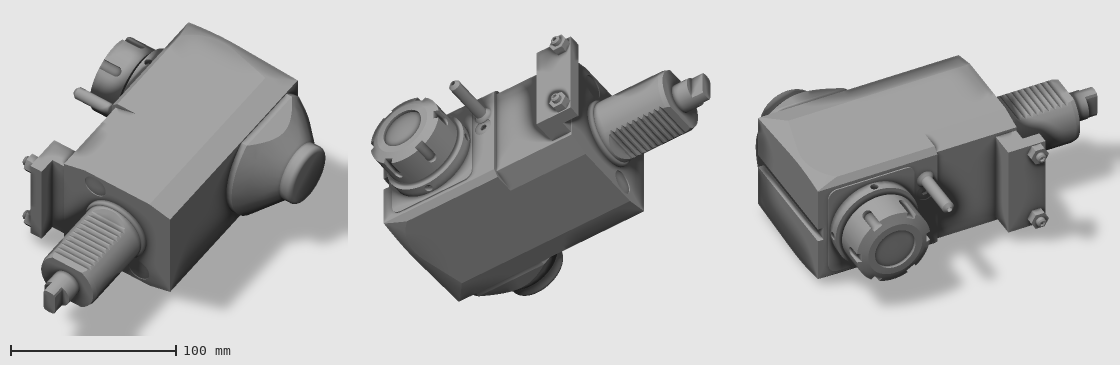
import cadquery as cq
import math


SLOPE = 15.0
SLOPE_TAN = math.tan(math.radians(SLOPE))

OVERLAP = 1.0

OVERALL_LENGTH = 208.0
HALF_HEIGHT = 75.0 / 2
HALF_WIDTH = 39.0
TOP_HALF_WIDTH = 24.0
HEAD_LEFT = 41.5
HEAD_CHAMFER = 3.7
HEAD_FRONT_Y = 55.0
HOUSING_LENGTH = 135.8
SHOULDER_Z = HALF_HEIGHT - (HALF_WIDTH - TOP_HALF_WIDTH) * SLOPE_TAN
SPINDLE_Y = 99.8

CROWN_X = -13.7
CROWN_RADIUS = 32.2
CROWN_TURN = 15.0
CROWN_REACH = 72.8
CROWN_CONE_ANGLE = 105.0

KEYWAY_WIDTH = 9.2
KEYWAY_DEPTH = 4.0

RECESS_RADIUS = 7.7
RECESS_DEPTH = 0.6
RECESS_X = 16.0
RECESS_Z = 27.9

COVER_RADIUS = 40.1
COVER_FLANGE_X = 43.0
COVER_HALF_HEIGHT = 32.2
COVER_REAR_Y = 131.0
NOSE_RADIUS = 19.3
NOSE_END_X = 72.2
NOSE_ROUNDING = 2.7

PAD_WIDTH = 58.2
PAD_HEIGHT = 62.8
PAD_THICKNESS = 0.8
PAD_CORNER = 6.0
FLANGE_RADIUS = 28.0
FLANGE_END_X = -49.7
NECK_RADIUS = 20.8
NUT_BACK_X = -52.2
NUT_RADIUS = 25.0
NUT_SHOULDER_X = -72.0
NUT_FACE_X = -74.5
NUT_FACE_RADIUS = 18.3
NUT_BORE_RADIUS = 13.7
NUT_BORE_DEPTH = 2.0
NUT_SLOT_COUNT = 6
NUT_SLOT_WIDTH = 6.2
NUT_SLOT_END_X = -57.8
NUT_SHORT_SLOT_END_X = -61.8
NUT_SLOT_FLOOR = 21.8
SCREW_HOLE_COUNT = 4
SCREW_HOLE_RADIUS = 2.5
SCREW_HOLE_DEPTH = 4.2

COOLANT_Y = 63.0
PIPE_Z = 17.5
PLUG_Z = 7.5
PIPE_RADIUS = 7.7 / 2
PIPE_BORE_RADIUS = 1.7
PIPE_BORE_DEPTH = 3.1
PIPE_CHAMFER = 2.0
SEAT_RADIUS = 5.8
SEAT_LENGTH = 2.3
PLUG_RECESS = 0.5
PLUG_SOCKET = 4.2
PLUG_SOCKET_DEPTH = 2.5

BRACKET_LEFT = -56.2
BRACKET_LIP_X = -47.8
BRACKET_REAR_Y = 14.1
BRACKET_FRONT_Y = -11.0
BRACKET_SETBACK = 0.31
BRACKET_HALF_HEIGHT = 31.0
STUD_Y = -4.8
STUD_Z = 25.0
STUD_RADIUS = 6.0 / 2
STUD_END_X = -64.7
STUD_CHAMFER = 0.8
STUD_SOCKET = 2.7
STUD_SOCKET_DEPTH = 1.7
CLAMP_NUT_FLATS = 10.5
CLAMP_NUT_HEIGHT = 5.2

COLLAR_RADIUS = 43.5 / 2
COLLAR_LENGTH = 3.3
COLLAR_ROUNDING = 1.7
SHANK_RADIUS = 20.0
SHANK_LENGTH = 53.0
SHANK_LEAD_LENGTH = 3.0
SHANK_LEAD_DEPTH = 0.8
TOOTH_TIP_Z = 31.8 / 2
TOOTH_ROOT_Z = 14.5
TOOTH_PITCH = 4.0
GROOVE_COUNT = 10
TOOTH_FLANK_RUN = 1.5
FIRST_ROOT_Y = -11.5

DRIVE_RADIUS = 9.2
DRIVE_SHOULDER_Y = -64.0
TANG_END_Y = HOUSING_LENGTH - OVERALL_LENGTH
TANG_HALF_THICKNESS = 4.2
TANG_FLAT_HALF_HEIGHT = 6.7
TANG_EDGE_HALF_THICKNESS = 3.3


def prism_along_y(points, y_start, y_end):
    """Extrude an XZ outline from y_start to y_end."""
    plane = cq.Plane(origin=(0, y_start, 0), xDir=(1, 0, 0), normal=(0, -1, 0))
    return cq.Workplane(plane).polyline(points).close().extrude(y_start - y_end)


def turned_on_x(points, y, z=0.0):
    """Revolve an (x, radius) outline about an axis along X."""
    plane = cq.Plane(origin=(0, y, z), xDir=(1, 0, 0), normal=(0, 0, 1))
    return cq.Workplane(plane).polyline(points).close().revolve(360, (0, 0), (1, 0))


def facing_x(x, y, z):
    """Workplane at a point, looking along -X, with Z up."""
    return cq.Workplane(cq.Plane(origin=(x, y, z), xDir=(0, -1, 0), normal=(-1, 0, 0)))


def hex_diameter(across_flats):
    """Across-corners size of a hexagon."""
    return across_flats / math.cos(math.pi / 6)


def both_sides(solid):
    """Add the mirror image of a solid below Z = 0."""
    return solid.union(solid.mirror("XY"))


def make_housing():
    right_edge = [(TOP_HALF_WIDTH, -HALF_HEIGHT), (HALF_WIDTH, -SHOULDER_Z),
                  (HALF_WIDTH, SHOULDER_Z), (TOP_HALF_WIDTH, HALF_HEIGHT)]
    body_left = [(-x, z) for x, z in reversed(right_edge)]
    head_top_x = -HEAD_LEFT + HEAD_CHAMFER
    head_side_z = HALF_HEIGHT - HEAD_CHAMFER
    head_left = [(head_top_x, HALF_HEIGHT), (-HEAD_LEFT, head_side_z),
                 (-HEAD_LEFT, -head_side_z), (head_top_x, -HALF_HEIGHT)]
    body = prism_along_y(right_edge + body_left, 0, HEAD_FRONT_Y)
    head = prism_along_y(right_edge + head_left, HEAD_FRONT_Y, HOUSING_LENGTH)
    head = head.cut(make_crown_cutter())
    housing = body.union(head)

    keyway = cq.Workplane("XY").box(3 * HEAD_LEFT, 2 * KEYWAY_DEPTH, KEYWAY_WIDTH)
    housing = housing.cut(keyway.translate((0, HOUSING_LENGTH, 0)))
    recesses = (cq.Workplane("XZ").pushPoints([(-RECESS_X, RECESS_Z), (RECESS_X, -RECESS_Z)])
                .circle(RECESS_RADIUS).extrude(-RECESS_DEPTH))
    return housing.cut(recesses)


def make_crown_cutter():
    """Material above the sloped rear crown, on the top and bottom of the head."""
    turn = math.radians(CROWN_TURN)
    plane = cq.Plane(origin=(CROWN_X, SPINDLE_Y, 0), xDir=(math.sin(turn), math.cos(turn), 0),
                     normal=(math.cos(turn), -math.sin(turn), 0))
    outer = CROWN_RADIUS + CROWN_REACH
    outer_z = HALF_HEIGHT - CROWN_REACH * SLOPE_TAN
    section = [(CROWN_RADIUS, HALF_HEIGHT), (outer, outer_z), (outer, HALF_HEIGHT)]
    cone = cq.Workplane(plane).polyline(section).close().revolve(CROWN_CONE_ANGLE, (0, 0), (0, 1))
    slope = cq.Workplane(plane).polyline(section).close().extrude(CROWN_REACH)
    return both_sides(cone.union(slope))


def make_cover():
    nose_start_x = COVER_FLANGE_X + COVER_RADIUS - NOSE_RADIUS
    inner_x = HALF_WIDTH - OVERLAP
    cover = turned_on_x([(inner_x, 0), (inner_x, COVER_RADIUS), (COVER_FLANGE_X, COVER_RADIUS),
                         (nose_start_x, NOSE_RADIUS), (NOSE_END_X, NOSE_RADIUS), (NOSE_END_X, 0)], SPINDLE_Y)
    cover = cover.faces(">X").edges().fillet(NOSE_ROUNDING)
    end_height = COVER_HALF_HEIGHT - (NOSE_END_X - COVER_FLANGE_X) * SLOPE_TAN
    upper = [(NOSE_END_X, end_height), (COVER_FLANGE_X, COVER_HALF_HEIGHT), (inner_x, COVER_HALF_HEIGHT)]
    lower = [(x, -z) for x, z in reversed(upper)]
    return cover.intersect(prism_along_y(upper + lower, 0, COVER_REAR_Y))


def make_nut_slot(end_x):
    """Round-ended wrench slot above the spindle axis, running in from the nut face."""
    half_width = NUT_SLOT_WIDTH / 2
    round_x = end_x - half_width
    return (cq.Workplane("XY", origin=(0, SPINDLE_Y, NUT_SLOT_FLOOR))
            .moveTo(NUT_FACE_X, -half_width).lineTo(round_x, -half_width)
            .threePointArc((end_x, 0), (round_x, half_width))
            .lineTo(NUT_FACE_X, half_width).close().extrude(NUT_RADIUS))


def make_spindle():
    pad = (facing_x(-HEAD_LEFT + OVERLAP, SPINDLE_Y, 0).rect(PAD_WIDTH, PAD_HEIGHT)
           .extrude(PAD_THICKNESS + OVERLAP).edges("|X").fillet(PAD_CORNER))
    root_x = -HEAD_LEFT
    bore_x = NUT_FACE_X + NUT_BORE_DEPTH
    spindle = turned_on_x([(root_x, 0), (root_x, FLANGE_RADIUS), (FLANGE_END_X, FLANGE_RADIUS),
                           (FLANGE_END_X, NECK_RADIUS), (NUT_BACK_X, NECK_RADIUS),
                           (NUT_BACK_X, NUT_RADIUS), (NUT_SHOULDER_X, NUT_RADIUS),
                           (NUT_FACE_X, NUT_FACE_RADIUS), (NUT_FACE_X, NUT_BORE_RADIUS),
                           (bore_x, NUT_BORE_RADIUS), (bore_x, 0)], SPINDLE_Y)
    axis_start = (0, SPINDLE_Y, 0)
    axis_end = (1, SPINDLE_Y, 0)

    for i in range(NUT_SLOT_COUNT):
        is_short = i % (NUT_SLOT_COUNT // 2) == 0
        slot = make_nut_slot(NUT_SHORT_SLOT_END_X if is_short else NUT_SLOT_END_X)
        angle = 90 + 360 / NUT_SLOT_COUNT * i
        spindle = spindle.cut(slot.rotate(axis_start, axis_end, angle))

    hole_x = (-HEAD_LEFT - PAD_THICKNESS + FLANGE_END_X) / 2
    hole = (cq.Workplane("XY", origin=(hole_x, SPINDLE_Y, FLANGE_RADIUS))
            .circle(SCREW_HOLE_RADIUS).extrude(-SCREW_HOLE_DEPTH))
    for i in range(SCREW_HOLE_COUNT):
        spindle = spindle.cut(hole.rotate(axis_start, axis_end, 360 / SCREW_HOLE_COUNT * i))
    return pad.union(spindle)


def make_pipe():
    face_x = -HEAD_LEFT
    root_x = face_x + OVERLAP
    bore_x = NUT_FACE_X + PIPE_BORE_DEPTH
    return turned_on_x([(root_x, 0), (root_x, SEAT_RADIUS), (face_x, SEAT_RADIUS),
                        (face_x - SEAT_LENGTH, PIPE_RADIUS), (NUT_FACE_X + PIPE_CHAMFER, PIPE_RADIUS),
                        (NUT_FACE_X, PIPE_RADIUS - PIPE_CHAMFER), (NUT_FACE_X, PIPE_BORE_RADIUS),
                        (bore_x, PIPE_BORE_RADIUS), (bore_x, 0)], COOLANT_Y, PIPE_Z)


def make_plug_cutter():
    """Shallow round recess with a hexagon socket, below the coolant pipe."""
    start = facing_x(-HEAD_LEFT, COOLANT_Y, PLUG_Z)
    recess = start.circle(SEAT_RADIUS).extrude(-PLUG_RECESS)
    socket = start.polygon(6, hex_diameter(PLUG_SOCKET)).extrude(-PLUG_SOCKET_DEPTH)
    return recess.union(socket)


def make_bracket():
    root_x = -HALF_WIDTH + OVERLAP
    outline = [(root_x, BRACKET_REAR_Y), (BRACKET_LEFT, BRACKET_REAR_Y), (BRACKET_LEFT, BRACKET_FRONT_Y),
               (BRACKET_LIP_X, BRACKET_FRONT_Y), (BRACKET_LIP_X, BRACKET_SETBACK), (root_x, BRACKET_SETBACK)]
    bracket = (cq.Workplane("XY").polyline(outline).close()
               .extrude(BRACKET_HALF_HEIGHT, both=True))
    start = facing_x(BRACKET_LEFT + OVERLAP, STUD_Y, STUD_Z)
    nut = start.polygon(6, hex_diameter(CLAMP_NUT_FLATS)).extrude(CLAMP_NUT_HEIGHT + OVERLAP)
    stud = (start.circle(STUD_RADIUS).extrude(start.plane.origin.x - STUD_END_X)
            .faces("<X").chamfer(STUD_CHAMFER))
    socket = (facing_x(STUD_END_X, STUD_Y, STUD_Z)
              .polygon(6, hex_diameter(STUD_SOCKET)).extrude(-STUD_SOCKET_DEPTH))
    return bracket.union(both_sides(nut.union(stud).cut(socket)))


def make_serration_cutter():
    """V-grooved cut above the shank flat, with a 45 degree run-out towards the housing."""
    crest_width = TOOTH_PITCH - 2 * TOOTH_FLANK_RUN
    ceiling = SHANK_RADIUS + OVERLAP
    flat_start_y = FIRST_ROOT_Y + TOOTH_FLANK_RUN + crest_width
    points = [(flat_start_y + ceiling - TOOTH_TIP_Z, ceiling), (flat_start_y, TOOTH_TIP_Z)]
    for i in range(GROOVE_COUNT):
        root_y = FIRST_ROOT_Y - i * TOOTH_PITCH
        points += [(root_y + TOOTH_FLANK_RUN, TOOTH_TIP_Z), (root_y, TOOTH_ROOT_Z),
                   (root_y - TOOTH_FLANK_RUN, TOOTH_TIP_Z)]
    end_y = -SHANK_LENGTH - OVERLAP
    points += [(end_y, TOOTH_TIP_Z), (end_y, ceiling)]
    upper = cq.Workplane("YZ").polyline(points).close().extrude(SHANK_RADIUS, both=True)
    return both_sides(upper)


def make_shank():
    collar = (cq.Workplane("XZ").workplane(offset=-OVERLAP).circle(COLLAR_RADIUS)
              .extrude(COLLAR_LENGTH + OVERLAP).faces("<Y").edges().fillet(COLLAR_ROUNDING))
    shank = (cq.Workplane("XZ").circle(SHANK_RADIUS).extrude(SHANK_LENGTH)
             .faces("<Y").chamfer(SHANK_LEAD_LENGTH, SHANK_LEAD_DEPTH))
    return collar.union(shank.cut(make_serration_cutter()))


def make_drive():
    drive = cq.Workplane("XZ").circle(DRIVE_RADIUS).extrude(-DRIVE_SHOULDER_Y)
    bar = cq.Workplane("XZ").circle(DRIVE_RADIUS).extrude(-TANG_END_Y)
    edge_z = DRIVE_RADIUS
    right = [(TANG_EDGE_HALF_THICKNESS, edge_z), (TANG_HALF_THICKNESS, TANG_FLAT_HALF_HEIGHT),
             (TANG_HALF_THICKNESS, -TANG_FLAT_HALF_HEIGHT), (TANG_EDGE_HALF_THICKNESS, -edge_z)]
    left = [(-x, z) for x, z in reversed(right)]
    tang = bar.intersect(prism_along_y(right + left, TANG_END_Y, 0))
    return drive.union(tang)


result = make_housing().cut(make_plug_cutter())
for component in (make_cover(), make_spindle(), make_pipe(), make_bracket(), make_shank(), make_drive()):
    result = result.union(component)